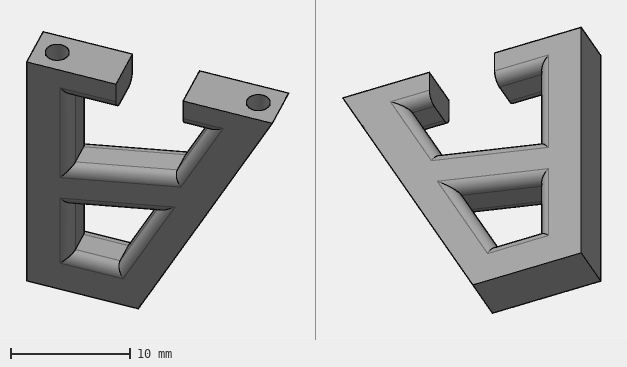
import cadquery as cq

height = 25.0
thickness = 4.0
base_width = 10.0
top_width = 22.0
slant = (top_width - base_width) / height

frame = 4.0
top_rail = 3.0
window_edge_radius = 1.0
lower_window_base_right = 8.0
upper_window_top_right = 16.0
upper_window_sill_left = 14.0
upper_window_sill_right = 16.0
crossbar_height = 4.4

gap_left = 8.0
gap_right = 14.0

hole_diameter = 2.0
hole_depth = 2.0
hole_end_distance = 2.0


def prism(points):
    """Extrude an XZ outline over the thickness, centred on Y = 0."""
    return cq.Workplane("XZ").polyline(points).close().extrude(thickness / 2, both=True)


upper_top = height - top_rail
sill_right_x = upper_window_top_right - slant * (upper_top - upper_window_sill_right)
upper_window = [
    (frame, upper_top),
    (upper_window_top_right, upper_top),
    (sill_right_x, upper_window_sill_right),
    (frame, upper_window_sill_left),
]

crossbar_slope = (upper_window_sill_right - upper_window_sill_left) / (sill_right_x - frame)
lower_top_left = upper_window_sill_left - crossbar_height
lower_base_rise = lower_top_left - frame + crossbar_slope * (lower_window_base_right - frame)
lower_right_rise = lower_base_rise / (1 - crossbar_slope * slant)
lower_window = [
    (frame, frame),
    (lower_window_base_right, frame),
    (lower_window_base_right + slant * lower_right_rise, frame + lower_right_rise),
    (frame, lower_top_left),
]

plate_outline = [(0, 0), (base_width, 0), (top_width, height), (0, height)]
body = prism(plate_outline).cut(prism(upper_window)).cut(prism(lower_window))
for face in ("<Y", ">Y"):
    window_rims = body.faces(face).val().innerWires()
    rim_edges = [edge for rim in window_rims for edge in rim.Edges()]
    body = body.newObject(rim_edges).fillet(window_edge_radius)

gap_outline = [(gap_left, upper_top), (gap_right, upper_top), (gap_right, height), (gap_left, height)]
body = body.cut(prism(gap_outline))

hole_centres = [(hole_end_distance, 0), (top_width - hole_end_distance, 0)]
holes = (
    cq.Workplane("XY", origin=(0, 0, height))
    .pushPoints(hole_centres)
    .circle(hole_diameter / 2)
    .extrude(-hole_depth)
)

result = body.cut(holes)